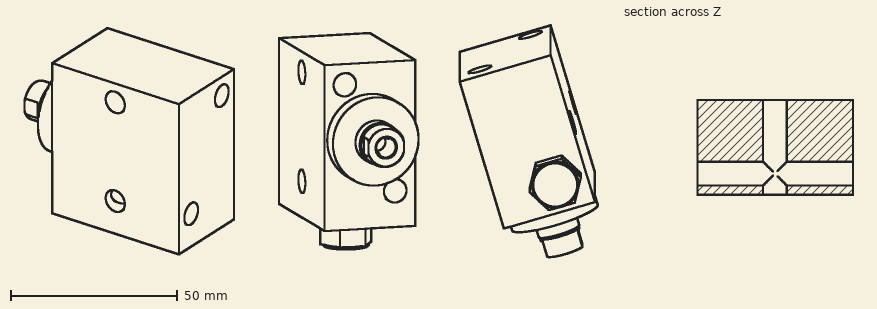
import cadquery as cq
import math

block_length = 46.8
block_width = 28.55
block_height = 50.7

hole_diameter = 7.1
upper_hole_z = block_height - 6.3
lower_hole_z = upper_hole_z - 33.3
cross_hole_x = 23.3
long_hole_offset_y = 7.9

spindle_z = 27.65
flange_diameter = 26.95
flange_thickness = 5.9
collar_diameter = 12.8
collar_length = 4.25
shoulder_taper_length = 0.7
neck_diameter = 12.2
spindle_reach = 16.5
tip_round_length = 1.15
tip_round_radius = 2.0

flat_spacing = 11.0
flat_length = 4.9

bore_diameter = 5.3
throat_diameter = 6.15
throat_depth = 0.3
lead_in_depth = 1.9
bore_mouth_diameter = 6.7
bore_depth = 9.5
drill_point_angle = 118.0

plug_x = 9.55
plug_y = 4.7
plug_across_flats = 14.0
plug_hex_height = 5.8
plug_height = 6.65
plug_edge_chamfer = 0.4


def make_block():
    block = cq.Workplane("XY").box(
        block_length, block_width, block_height, centered=(False, True, False)
    )
    cross_holes = (
        cq.Workplane("XZ", origin=(0, block_width / 2, 0))
        .pushPoints([(cross_hole_x, upper_hole_z), (cross_hole_x, lower_hole_z)])
        .circle(hole_diameter / 2)
        .extrude(block_width)
    )
    long_holes = (
        cq.Workplane("YZ")
        .pushPoints([(long_hole_offset_y, upper_hole_z), (-long_hole_offset_y, lower_hole_z)])
        .circle(hole_diameter / 2)
        .extrude(block_length)
    )
    return block.cut(cross_holes).cut(long_holes)


def revolve_about_spindle(outline):
    """Revolve an open outline in (x, radius) about the spindle axis, closing it along that axis."""
    return outline.close().revolve(360, (0, 0, 0), (1, 0, 0))


def make_spindle():
    tip_x = -spindle_reach
    collar_end_x = -flange_thickness - collar_length
    neck_radius = neck_diameter / 2
    round_start_x = tip_x + tip_round_length

    def round_point(fraction):
        """Point on the tip rounding, which is tangent to the neck at fraction 0."""
        distance = fraction * tip_round_length
        drop = tip_round_radius - math.sqrt(tip_round_radius**2 - distance**2)
        return (round_start_x - distance, neck_radius - drop)

    outline = (
        cq.Workplane("XY", origin=(0, 0, spindle_z))
        .lineTo(0, flange_diameter / 2)
        .lineTo(-flange_thickness, flange_diameter / 2)
        .lineTo(-flange_thickness, collar_diameter / 2)
        .lineTo(collar_end_x, collar_diameter / 2)
        .lineTo(collar_end_x - shoulder_taper_length, neck_radius)
        .lineTo(round_start_x, neck_radius)
        .threePointArc(round_point(0.5), round_point(1))
        .lineTo(tip_x, 0)
    )
    return revolve_about_spindle(outline)


def make_bore():
    tip_x = -spindle_reach
    bore_radius = bore_diameter / 2
    throat_radius = throat_diameter / 2
    mouth_radius = bore_mouth_diameter / 2
    bore_end_x = tip_x + bore_depth
    point_length = bore_radius / math.tan(math.radians(drill_point_angle / 2))
    outline = cq.Workplane("XY", origin=(0, 0, spindle_z)).polyline([
        (tip_x, 0),
        (tip_x, mouth_radius),
        (tip_x + throat_depth, throat_radius),
        (tip_x + lead_in_depth, bore_radius),
        (bore_end_x, bore_radius),
        (bore_end_x + point_length, 0),
    ])
    return revolve_about_spindle(outline)


def make_wrench_flat(side):
    """Cutter for one flat, on the +Y (side = 1) or -Y (side = -1) face, with a 45 degree run-out."""
    tip_x = -spindle_reach
    flat_end_x = tip_x + flat_length
    flat_y = flat_spacing / 2
    outer_y = neck_diameter / 2
    return (
        cq.Workplane("XY", origin=(0, 0, spindle_z))
        .polyline([
            (tip_x, side * flat_y),
            (flat_end_x, side * flat_y),
            (flat_end_x + outer_y - flat_y, side * outer_y),
            (tip_x, side * outer_y),
        ])
        .close()
        .extrude(neck_diameter / 2, both=True)
    )


def make_plug():
    across_corners = plug_across_flats / math.cos(math.radians(30))
    base = cq.Workplane("XY", origin=(plug_x, plug_y, 0))
    hexagon = (
        base.transformed(rotate=(0, 0, 90))
        .polygon(6, across_corners)
        .extrude(-plug_hex_height)
    )
    end_disc = (
        base.circle(plug_across_flats / 2)
        .extrude(-plug_height)
        .faces("<Z")
        .chamfer(plug_edge_chamfer)
    )
    return hexagon.union(end_disc)


spindle = make_spindle().cut(make_bore())
for side in (1, -1):
    spindle = spindle.cut(make_wrench_flat(side))

result = make_block().union(spindle).union(make_plug())